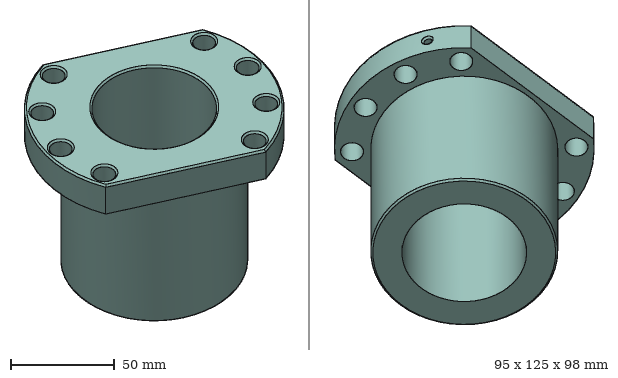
import cadquery as cq
import math

flange_diameter = 125.0
flange_width = 95.0
flange_thickness = 18.0
total_height = 98.0
body_diameter = 90.0
bore_diameter = 60.0
edge_chamfer = 1.0

bolt_circle_radius = 54.0
bolt_hole_diameter = 11.0
bolt_hole_pitch = 30.0
bolt_holes_per_group = 4
bolt_group_centres = (90.0, 270.0)

oil_port_diameter = 4.0
oil_port_depth = 10.0
oil_port_angle = 120.0

flange_bottom = total_height - flange_thickness
flange_middle = total_height - flange_thickness / 2


def make_body():
    """Solid cylindrical body with a chamfered lower edge."""
    body = cq.Workplane("XY").circle(body_diameter / 2).extrude(total_height)
    return body.faces("<Z").edges().chamfer(edge_chamfer)


def make_flange():
    """Round flange trimmed by two flats, with a chamfered upper edge."""
    base = cq.Workplane("XY", origin=(0, 0, flange_bottom))
    disc = base.circle(flange_diameter / 2).extrude(flange_thickness)
    between_flats = base.rect(flange_width, flange_diameter).extrude(flange_thickness)
    return disc.intersect(between_flats).faces(">Z").edges().chamfer(edge_chamfer)


def make_chamfered_hole(start, direction, diameter, depth):
    """Cutter for a hole from start along direction, with a 45 degree chamfer at its mouth."""
    radius = diameter / 2
    hole = cq.Solid.makeCylinder(radius, depth, start, direction)
    mouth = cq.Solid.makeCone(radius + edge_chamfer, radius, edge_chamfer, start, direction)
    return hole.fuse(mouth)


def polar_point(radius, degrees, height):
    angle = math.radians(degrees)
    return cq.Vector(radius * math.cos(angle), radius * math.sin(angle), height)


down = cq.Vector(0, 0, -1)

result = make_body().union(make_flange())

bore_start = cq.Vector(0, 0, total_height)
result = result.cut(make_chamfered_hole(bore_start, down, bore_diameter, total_height))

for group_centre in bolt_group_centres:
    first_angle = group_centre - bolt_hole_pitch * (bolt_holes_per_group - 1) / 2
    for index in range(bolt_holes_per_group):
        hole_angle = first_angle + index * bolt_hole_pitch
        hole_start = polar_point(bolt_circle_radius, hole_angle, total_height)
        result = result.cut(make_chamfered_hole(hole_start, down, bolt_hole_diameter, flange_thickness))

port_start = polar_point(flange_diameter / 2, oil_port_angle, flange_middle)
port_direction = polar_point(-1, oil_port_angle, 0)
result = result.cut(make_chamfered_hole(port_start, port_direction, oil_port_diameter, oil_port_depth))